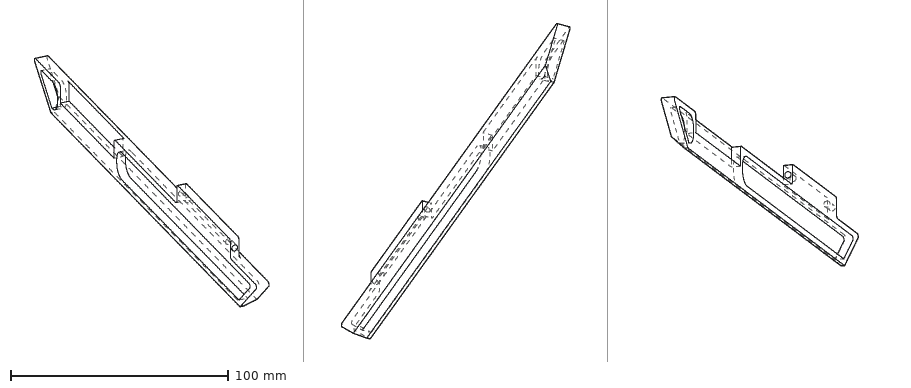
import cadquery as cq
import math

length = 247.2
thickness = 6.5
body_height = 20.0
tip_round = 1.2
bevel = 4.7

joint_offset = 64.8
joint_height = 10.0
tab_width = 59.3
tab_thickness = 4.5
slot_width = 59.8
slot_depth = 4.5
tab_corner_round = 1.0
root_round = 1.5
hole_diameter = 3.0
hole_depth = 7.0

rim = 3.0
pocket_depth = 4.5
pocket_round = 6.0
pocket_tip_round = 1.2

tip_loss = tip_round * math.sqrt(2)
half_top = length / 2 + tip_loss
half_bottom = half_top - body_height
pocket_half_top = half_top - rim * (1 + math.sqrt(2))
pocket_height = body_height - 2 * rim
pocket_half_bottom = pocket_half_top - pocket_height
top_z = body_height
pocket_top_z = body_height - rim


def plate(points, depth):
    """Extrude an XZ outline from the front face (Y = 0) toward +Y."""
    return cq.Workplane("XZ").polyline(points).close().extrude(-depth)


def front_box(center_x, width, low_z, high_z, depth):
    """Block with its front on Y = 0."""
    left = center_x - width / 2
    right = center_x + width / 2
    return plate([(left, low_z), (right, low_z), (right, high_z), (left, high_z)], depth)


def edges_at(body, x, z):
    """Edge parallel to Y that passes nearest to the given X and Z."""
    return body.edges("|Y").edges(cq.selectors.NearestToPointSelector((x, thickness / 2, z)))


def make_body():
    body = plate(
        [(-half_top, top_z), (half_top, top_z), (half_bottom, 0), (-half_bottom, 0)],
        thickness,
    )
    for side in (-1, 1):
        body = edges_at(body, side * half_top, top_z).fillet(tip_round)
    return body.faces(">Y").edges("<Z").chamfer(bevel)


def make_pocket(sloped_side, wall_x):
    """Pocket between a sloped end and an upright wall with rounded corners."""
    pocket = plate(
        [
            (sloped_side * pocket_half_top, pocket_top_z),
            (sloped_side * pocket_half_bottom, rim),
            (wall_x, rim),
            (wall_x, pocket_top_z),
        ],
        pocket_depth,
    )
    for z in (rim, pocket_top_z):
        pocket = edges_at(pocket, wall_x, z).fillet(pocket_round)
    return edges_at(pocket, sloped_side * pocket_half_top, pocket_top_z).fillet(pocket_tip_round)


def make_flare(center_x, width, depth):
    """Concave roots on both sides of a rectangle standing on or cut at the body top."""
    flare = front_box(center_x, width + 2 * root_round, top_z, top_z + root_round, depth)
    for side in (-1, 1):
        rounder = (
            cq.Workplane("XZ")
            .center(center_x + side * (width / 2 + root_round), top_z + root_round)
            .circle(root_round)
            .extrude(-depth)
        )
        flare = flare.cut(rounder)
    return flare


def make_tab():
    tab_top = top_z + joint_height
    tab = front_box(joint_offset, tab_width, top_z - rim, tab_top, tab_thickness)
    tab = tab.edges("|Y and >Z").fillet(tab_corner_round)
    return tab.union(make_flare(joint_offset, tab_width, tab_thickness))


def make_slot():
    slot = front_box(-joint_offset, slot_width, top_z - joint_height, top_z, slot_depth)
    flare = make_flare(-joint_offset, slot_width, slot_depth)
    return slot.union(flare.mirror("XY", (0, 0, top_z)))


def make_hole(side):
    """Blind hole drilled along X into one upright end of the tab."""
    tab_end = joint_offset + side * tab_width / 2
    start = (tab_end, tab_thickness / 2, top_z + joint_height / 2)
    return cq.Workplane("YZ", origin=start).circle(hole_diameter / 2).extrude(-side * hole_depth)


result = make_body().union(make_tab()).cut(make_slot())
result = result.cut(make_pocket(-1, -joint_offset - slot_width / 2 - rim))
result = result.cut(make_pocket(1, -joint_offset + slot_width / 2 + rim))
for end in (-1, 1):
    result = result.cut(make_hole(end))